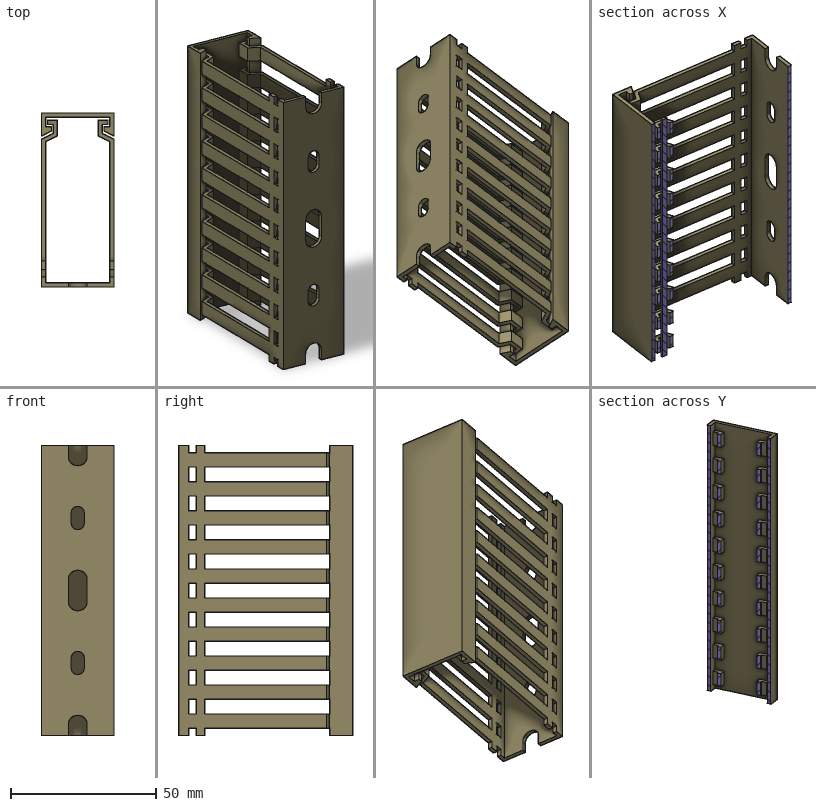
import cadquery as cq
import math

length = 100.0
width = 25.0
height = 60.0
wall = 1.5
half_width = width / 2

shoulder_slope = 0.5
lid_skirt_depth = 8.0
hook_top_depth = 4.7
hook_reach = 3.5
shoulder_depth = 9.0
neck_inset = 4.0
lip_top_depth = 2.5
lip_inset = 2.0

finger_pitch = 10.0
slot_width = 5.0
slot_bottom = 9.0
window_bottom = 3.5
window_top = 6.0

large_slot_length = 14.0
large_slot_width = 6.5
small_slot_length = 8.0
small_slot_width = 4.5


def symmetric_prism(half_outline):
    """Extrude along Z the closed outline formed by its +X half and the mirror image of that half."""
    mirrored = [(-x, y) for x, y in reversed(half_outline)]
    return cq.Workplane("XY").polyline(half_outline + mirrored).close().extrude(length)


def side_cutter(bottom, top, z_center):
    """Block crossing both side walls between two heights, one slot wide."""
    size_y = top - bottom
    return cq.Workplane("XY").box(width, size_y, slot_width).translate((0, bottom + size_y / 2, z_center))


def mounting_cutter(slot_length, slot_width_x, z_center):
    """Round-ended cutter through the base."""
    return (
        cq.Workplane("XZ", origin=(0, wall, z_center))
        .slot2D(slot_length, slot_width_x, 90)
        .extrude(wall)
    )


def make_duct():
    """U-shaped duct with slotted side walls whose fingers end in necks and outward lips."""
    neck_outer = half_width - neck_inset
    neck_inner = neck_outer - wall
    inner = half_width - wall
    shoulder_outer_y = height - shoulder_depth
    neck_outer_y = shoulder_outer_y + neck_inset * shoulder_slope
    bend_drop = wall * (math.hypot(1, shoulder_slope) - shoulder_slope)
    lip_top = height - lip_top_depth
    lip_bottom = lip_top - wall
    lip_edge = half_width - lip_inset

    duct = symmetric_prism([
        (half_width, 0),
        (half_width, shoulder_outer_y),
        (neck_outer, neck_outer_y),
        (neck_outer, lip_bottom),
        (lip_edge, lip_bottom),
        (lip_edge, lip_top),
        (neck_inner, lip_top),
        (neck_inner, neck_outer_y - bend_drop),
        (inner, shoulder_outer_y - bend_drop),
        (inner, wall),
    ])

    for i in range(round(length / finger_pitch) + 1):
        z = i * finger_pitch
        duct = duct.cut(side_cutter(slot_bottom, height, z))
        duct = duct.cut(side_cutter(window_bottom, window_top, z))

    for z in (0, length / 2, length):
        duct = duct.cut(mounting_cutter(large_slot_length, large_slot_width, z))
    for z in (length / 4, 3 * length / 4):
        duct = duct.cut(mounting_cutter(small_slot_length, small_slot_width, z))
    return duct


def make_lid():
    """Flat lid whose skirts carry inward hooks that sit under the duct lips."""
    inner = half_width - wall
    skirt_y = height - lid_skirt_depth
    hook_top = height - hook_top_depth
    hook_tip = half_width - hook_reach
    return symmetric_prism([
        (half_width, height),
        (half_width, skirt_y),
        (hook_tip, skirt_y + hook_reach * shoulder_slope),
        (hook_tip, hook_top),
        (inner, hook_top),
        (inner, height - wall),
    ])


duct = make_duct()
lid = make_lid()
result = cq.Compound.makeCompound([duct.val(), lid.val()])